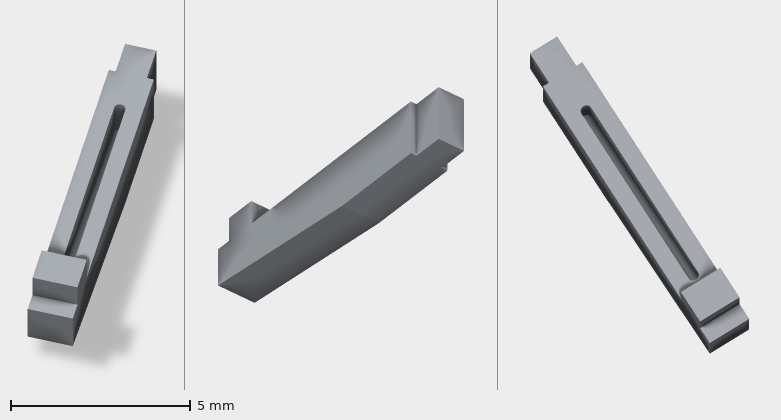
import cadquery as cq

length = 9.7
width = 1.3
height = 2.6
front = -length / 2
back = length / 2

head_height = 0.8
head_length = 1.0
head_setback = 0.5
taper_rise = 0.54
flat_underside = 4.09
bar_top = height - head_height
head_front = front + head_setback
head_back = head_front + head_length

tongue_length = 1.0
tongue_width = 0.9

slot_width = 0.32
slot_front = front + 1.75
slot_back = back - 2.09
slot_depth = 1.2
flat_floor_length = 0.4
floor_rise = 0.53
slot_flat = 0.02
slot_radius = (slot_width - slot_flat) / 2


def make_bar():
    outline = [
        (front, taper_rise),
        (back - flat_underside, 0),
        (back, 0),
        (back, bar_top),
        (head_back, bar_top),
        (head_back, height),
        (head_front, height),
        (head_front, bar_top),
        (front, bar_top),
    ]
    return cq.Workplane("YZ").polyline(outline).close().extrude(width / 2, both=True)


def make_tongue_cuts():
    """Material removed from both sides of the bar to leave the tongue."""
    end_block = cq.Workplane("XY").box(width, tongue_length, bar_top, centered=(True, False, False))
    tongue = cq.Workplane("XY").box(tongue_width, tongue_length, bar_top, centered=(True, False, False))
    return end_block.cut(tongue).translate((0, back - tongue_length, 0))


def make_slot():
    """Vertical slot with rounded corners, trimmed below by a two-part floor with rounded sides."""
    plan = (
        cq.Workplane("XY")
        .center(0, (slot_front + slot_back) / 2)
        .rect(slot_width, slot_back - slot_front)
        .extrude(bar_top)
        .edges("|Z")
        .fillet(slot_radius)
    )
    floor_z = bar_top - slot_depth
    floor_bend = slot_back - flat_floor_length
    side_profile = [
        (slot_back, floor_z),
        (floor_bend, floor_z),
        (slot_front, floor_z + floor_rise),
        (slot_front, bar_top),
        (slot_back, bar_top),
    ]
    trough = cq.Workplane("YZ").polyline(side_profile).close().extrude(slot_width / 2, both=True)
    floor_zone = cq.selectors.BoxSelector(
        (-width, slot_front, floor_z - slot_radius),
        (width, slot_back, floor_z + floor_rise),
    )
    floor_sides = trough.faces("<X or >X").edges(floor_zone).edges("not |Z")
    return plan.intersect(floor_sides.fillet(slot_radius))


result = make_bar().cut(make_tongue_cuts()).cut(make_slot())